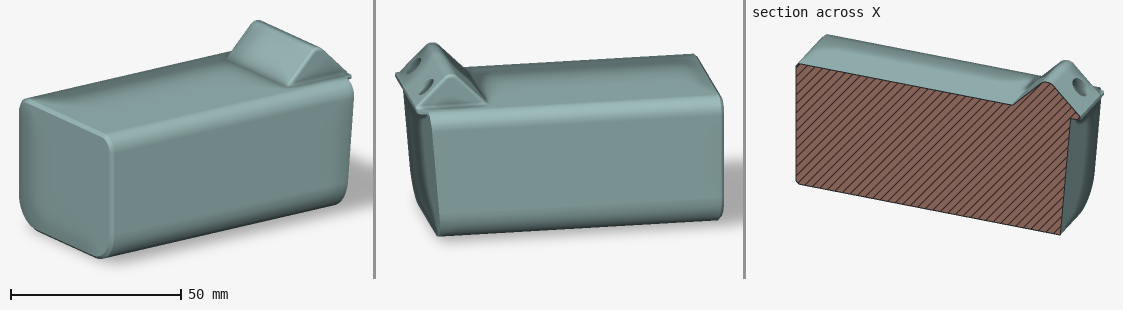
import cadquery as cq
import math

width = 47.85
length = 90.8
overall_height = 49.75
body_height = 39.95
top_radius = 4.8
bottom_radius = 9.5
front_chamfer = 1.0
back_inset_top = 3.0
back_inset_bottom = 6.4

lip_thickness = 0.8
lip_half_width = 19.0
lip_outer_radius = 1.45
lip_inner_radius = back_inset_top - lip_outer_radius

wedge_width = 32.0
ridge_inset = 10.6
ridge_radius = 2.9
edge_radius = 1.0

hole_diameter = 6.2
hole_depth = 3.5
hole_spacing = 20.0
hole_inset = 4.2

y_front = -length / 2
y_back = length / 2
ridge_y = y_back - ridge_inset
sharp_ridge_z = overall_height + ridge_radius * (math.sqrt(2) - 1)


def rounded_bar():
    """Full-length bar with the rounded cross-section of the body."""
    bar = cq.Workplane("XY").box(width, length, body_height, centered=(True, True, False))
    bar = bar.edges("|Y and >Z").fillet(top_radius)
    return bar.edges("|Y and <Z").fillet(bottom_radius)


def make_body():
    side_profile = (
        cq.Workplane("YZ")
        .moveTo(y_front, 0)
        .lineTo(y_back - back_inset_bottom, 0)
        .lineTo(y_back - back_inset_top, body_height)
        .lineTo(y_front, body_height)
        .close()
        .extrude(width / 2, both=True)
    )
    return rounded_bar().intersect(side_profile).faces("<Y").chamfer(front_chamfer)


def make_lip():
    """Shelf with rounded outer corners that flares into the back of the body."""
    root_y = y_back - back_inset_top
    bend_y = y_back - lip_outer_radius
    flare_x = lip_half_width + lip_inner_radius
    end_x = lip_half_width - lip_outer_radius
    outline = (
        cq.Workplane("XY")
        .workplane(offset=body_height - lip_thickness)
        .moveTo(-flare_x, ridge_y)
        .lineTo(-flare_x, root_y)
        .radiusArc((-lip_half_width, bend_y), -lip_inner_radius)
        .radiusArc((-end_x, y_back), lip_outer_radius)
        .lineTo(end_x, y_back)
        .radiusArc((lip_half_width, bend_y), lip_outer_radius)
        .radiusArc((flare_x, root_y), -lip_inner_radius)
        .lineTo(flare_x, ridge_y)
        .close()
        .extrude(lip_thickness)
    )
    return outline.intersect(rounded_bar())


def make_wedge():
    """Ridge blended into a pad level with the body top, cut off flush with the lip."""
    pad_bottom_z = body_height - lip_thickness
    pad_width = 2 * (lip_half_width - lip_outer_radius)
    foot_reach = sharp_ridge_z - body_height
    pad_length = 3 * foot_reach
    pad = cq.Workplane("XY").box(pad_width, pad_length, lip_thickness, centered=(True, True, False))
    pad = pad.translate((0, ridge_y, pad_bottom_z))

    ridge = (
        cq.Workplane("YZ")
        .moveTo(ridge_y - foot_reach, body_height)
        .lineTo(ridge_y + foot_reach, body_height)
        .lineTo(ridge_y, sharp_ridge_z)
        .close()
        .extrude(wedge_width / 2, both=True)
    )
    ridge = ridge.edges("|X and >Z").fillet(ridge_radius)
    ridge = ridge.faces("<X or >X").edges("not <Z").fillet(edge_radius)

    margin = 0.1
    foot_region = cq.selectors.BoxSelector(
        (-wedge_width / 2 - margin, ridge_y - foot_reach - margin, body_height - margin),
        (wedge_width / 2 + margin, ridge_y + foot_reach + margin, body_height + margin),
        boundingbox=True,
    )
    wedge = pad.union(ridge).edges(foot_region).fillet(edge_radius)
    overhang = (
        cq.Workplane("XY")
        .box(width, pad_length, overall_height, centered=(True, False, False))
        .translate((0, y_back, 0))
    )
    return wedge.cut(overhang)


def make_hole(x):
    center_y = y_back - hole_inset
    center_z = sharp_ridge_z - (center_y - ridge_y)
    return cq.Workplane(
        cq.Solid.makeCylinder(
            hole_diameter / 2,
            hole_depth,
            cq.Vector(x, center_y, center_z),
            cq.Vector(0, -1, -1),
        )
    )


result = make_body().union(make_lip()).union(make_wedge())
for side in (-1, 1):
    result = result.cut(make_hole(side * hole_spacing / 2))